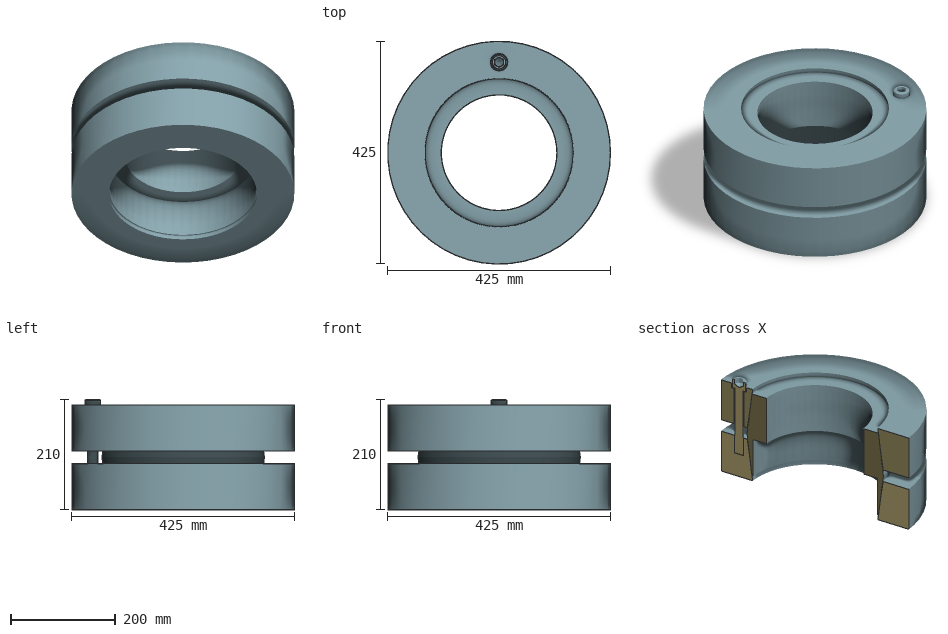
import cadquery as cq
import math

disc_diameter = 425.0
disc_height = 88.0
disc_gap = 24.0
stack_height = 2 * disc_height + disc_gap
upper_disc_base = disc_height + disc_gap

ridge_diameter = 310.0
ridge_z = stack_height / 2
disc_end_bore = 282.0
taper_slope = (ridge_diameter - disc_end_bore) / stack_height
ring_recess = 10.0
ring_bottom = ring_recess
ring_top = stack_height - ring_recess
small_bore = 220.0
small_bore_length = 100.0
large_bore = 280.0
bore_step_z = ring_top - small_bore_length

screw_edge_distance = 40.0
screw_y = disc_diameter / 2 - screw_edge_distance
shank_diameter = 20.0
shank_length = 140.0
head_diameter = 30.0
head_height = 20.0
head_chamfer_width = 2.4
head_chamfer_angle = 30.0
socket_width = 17.0
socket_depth = 10.0
socket_cone_angle = 30.0
clearance_diameter = 22.0
counterbore_diameter = 33.0
counterbore_depth = 10.0
head_seat = stack_height - counterbore_depth
screw_tip = head_seat - shank_length
screw_top = head_seat + head_height


def cylinder(diameter, bottom, top, y=0.0):
    """Solid upright cylinder between two heights."""
    return cq.Workplane("XY", origin=(0, y, bottom)).circle(diameter / 2).extrude(top - bottom)


def double_cone(bottom, top):
    """Solid that tapers from the ridge towards both ends."""
    def radius_at(z):
        return ridge_diameter / 2 - abs(z - ridge_z) * taper_slope

    return (
        cq.Workplane("XZ")
        .moveTo(0, bottom)
        .lineTo(radius_at(bottom), bottom)
        .lineTo(ridge_diameter / 2, ridge_z)
        .lineTo(radius_at(top), top)
        .lineTo(0, top)
        .close()
        .revolve(360, (0, 0), (0, 1))
    )


def make_ring():
    """Ring with a double-cone outside and a stepped bore that is wider below."""
    return (
        double_cone(ring_bottom, ring_top)
        .cut(cylinder(small_bore, ring_bottom, ring_top))
        .cut(cylinder(large_bore, ring_bottom, bore_step_z))
    )


def make_disc(bottom):
    """Disc with a tapered bore that seats on one cone of the ring."""
    return cylinder(disc_diameter, bottom, bottom + disc_height).cut(double_cone(0.0, stack_height))


def make_lower_disc():
    """Lower disc with a blind hole for the end of the screw."""
    return make_disc(0.0).cut(cylinder(shank_diameter, screw_tip, disc_height, screw_y))


def make_upper_disc():
    """Upper disc with a counterbored clearance hole for the screw."""
    return (
        make_disc(upper_disc_base)
        .cut(cylinder(clearance_diameter, upper_disc_base, stack_height, screw_y))
        .cut(cylinder(counterbore_diameter, head_seat, stack_height, screw_y))
    )


def make_screw():
    """Cap screw with a chamfered head and a hexagon socket that ends in a drill cone."""
    chamfer_height = head_chamfer_width * math.tan(math.radians(head_chamfer_angle))
    socket_corner_diameter = socket_width / math.cos(math.pi / 6)
    socket_floor = screw_top - socket_depth
    cone_radius = socket_width / 2
    cone_depth = cone_radius * math.tan(math.radians(socket_cone_angle))
    socket_center = cq.Vector(0, screw_y, socket_floor)

    head = cylinder(head_diameter, head_seat, screw_top, screw_y)
    head = head.faces(">Z").edges().chamfer(chamfer_height, head_chamfer_width)
    socket = (
        cq.Workplane("XY", origin=socket_center.toTuple())
        .transformed(rotate=(0, 0, 90))
        .polygon(6, socket_corner_diameter)
        .extrude(socket_depth)
    )
    cone = cq.Workplane(cq.Solid.makeCone(cone_radius, 0, cone_depth, socket_center, cq.Vector(0, 0, -1)))
    shank = cylinder(shank_diameter, screw_tip, head_seat, screw_y)
    return head.union(shank).cut(socket).cut(cone)


lower_disc = make_lower_disc()
upper_disc = make_upper_disc()
ring = make_ring()
screw = make_screw()

bodies = [lower_disc, upper_disc, ring, screw]
result = cq.Compound.makeCompound([body.solids().val() for body in bodies])